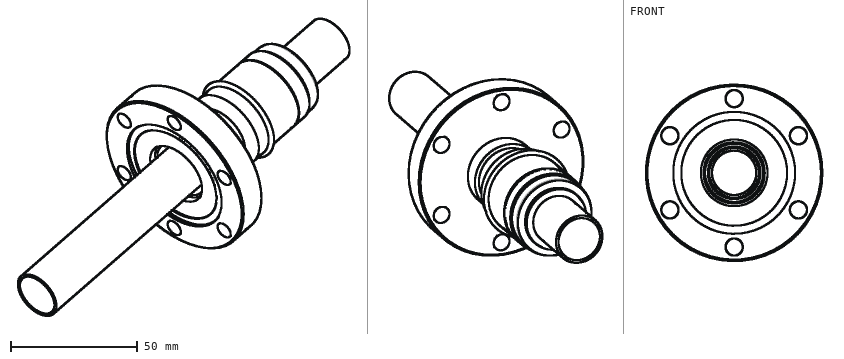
import cadquery as cq
import math


tube_outer_radius = 9.85
tube_inner_radius = 8.75
overall_length = 184.15
tube_front_reach = 86.1

flange_radius = 69.85 / 2
flange_thickness = 12.4
flange_edge_chamfer = 0.6
bolt_count = 6
bolt_circle_radius = 58.7 / 2
bolt_hole_diameter = 6.7

recess_radius = 24.13
knife_radius = 20.95
sealed_face_depth = 1.2
knife_depth = 0.65
knife_angle = 11
recess_depth = knife_depth + (recess_radius - knife_radius) * math.tan(math.radians(knife_angle))

collar_radius = 14.3
collar_end = 20.2
neck_radius = 12.6
neck_end = 29.05

body_radius = 16.45
cone_end = neck_end + body_radius - neck_radius
lip_radius = 18.2
lip_start = 39.0
lip_peak = 40.3
lip_end = 40.85
insulator_end = 57.9
insulator_chamfer = 0.4
rear_cap_start = insulator_end + insulator_chamfer
rear_cap_end = 65.45
rear_cap_chamfer = 0.8
step_radius = 15.95
step_end = 71.1
step_chamfer = 1.0
step_chamfer_width = 0.3
end_ring_radius = 12.6
end_ring_end = 72.9

flange_bore_radius = 13.2
flange_bore_depth = 4.3
neck_bore_radius = 12.1
insulator_bore_radius = 11.5
rear_cap_bore_radius = 10.4


def revolve_about_y(profile_points):
    """Revolve a closed (radius, station) outline around the Y axis."""
    outline = cq.Workplane("XY").polyline(profile_points).close()
    return outline.revolve(360, (0, 0, 0), (0, 1, 0))


def cylinder_along_y(radius, start, end):
    return revolve_about_y([(0, start), (radius, start), (radius, end), (0, end)])


def make_flange():
    disc = cylinder_along_y(flange_radius, 0, flange_thickness)
    disc = disc.edges().chamfer(flange_edge_chamfer)
    recess = revolve_about_y([
        (0, 0),
        (recess_radius, 0),
        (recess_radius, recess_depth),
        (knife_radius, knife_depth),
        (knife_radius, sealed_face_depth),
        (0, sealed_face_depth),
    ])
    return disc.cut(recess)


def make_body():
    return revolve_about_y([
        (0, flange_thickness),
        (collar_radius, flange_thickness),
        (collar_radius, collar_end),
        (neck_radius, collar_end),
        (neck_radius, neck_end),
        (body_radius, cone_end),
        (body_radius, lip_start),
        (lip_radius, lip_peak),
        (body_radius, lip_end),
        (body_radius, insulator_end),
        (body_radius - insulator_chamfer, rear_cap_start),
        (body_radius, rear_cap_start),
        (body_radius, rear_cap_end - rear_cap_chamfer),
        (step_radius, rear_cap_end),
        (step_radius, step_end - step_chamfer),
        (step_radius - step_chamfer_width, step_end),
        (end_ring_radius, step_end),
        (end_ring_radius, end_ring_end),
        (0, end_ring_end),
    ])


def make_cavity():
    return revolve_about_y([
        (0, 0),
        (flange_bore_radius, 0),
        (flange_bore_radius, flange_bore_depth),
        (neck_bore_radius, flange_bore_depth),
        (neck_bore_radius, lip_end),
        (insulator_bore_radius, lip_end),
        (insulator_bore_radius, rear_cap_start),
        (rear_cap_bore_radius, rear_cap_start),
        (rear_cap_bore_radius, rear_cap_end),
        (0, rear_cap_end),
    ])


def make_bolt_holes():
    holes = cq.Workplane("XY")
    for index in range(bolt_count):
        angle = math.radians(90 + index * 360 / bolt_count)
        hole = cylinder_along_y(bolt_hole_diameter / 2, 0, flange_thickness)
        x = bolt_circle_radius * math.cos(angle)
        z = bolt_circle_radius * math.sin(angle)
        holes = holes.add(hole.translate((x, 0, z)))
    return holes.combine()


tube_front = -tube_front_reach
tube_rear = tube_front + overall_length
tube = cylinder_along_y(tube_outer_radius, tube_front, tube_rear)
tube_bore = cylinder_along_y(tube_inner_radius, tube_front, tube_rear)

shell = make_flange().union(make_body()).cut(make_cavity()).cut(make_bolt_holes())
result = shell.union(tube).cut(tube_bore)